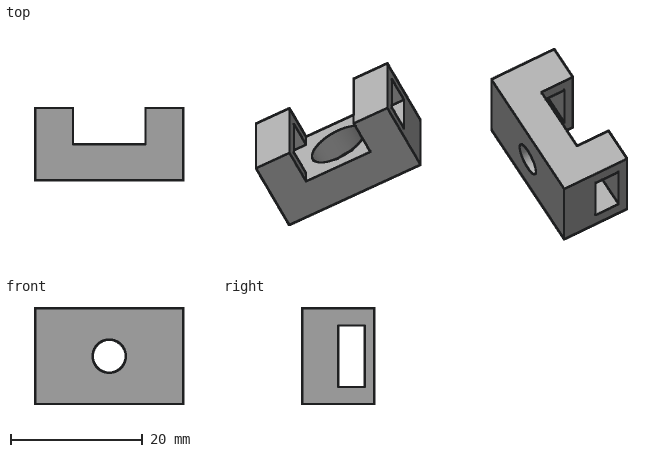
import cadquery as cq

length = 22.5
depth = 11.0
height = 14.6

gap_width = 11.0
web_thickness = 5.5

window_depth = 4.0
window_height = 9.3

hole_diameter = 5.0
counterbore_diameter = 9.0
hole_land = 1.5


def box_along_y(size_x, size_y, size_z, front_y):
    """Box centred on X and Z that starts at front_y and runs towards +Y."""
    box = cq.Workplane("XY").box(size_x, size_y, size_z, centered=(True, False, True))
    return box.translate((0, front_y, 0))


def cylinder_along_y(diameter, front_y, back_y):
    """Cylinder on the Y axis between two Y positions."""
    cylinder = cq.Workplane("XZ").circle(diameter / 2).extrude(front_y - back_y)
    return cylinder.translate((0, front_y, 0))


def make_body():
    """U-shaped body: a front web with an arm at each end."""
    block = box_along_y(length, depth, height, 0)
    gap = box_along_y(gap_width, depth - web_thickness, height, web_thickness)
    return block.cut(gap)


def cut_arm_windows(body):
    """Rectangular passage along X through both arms."""
    window = box_along_y(length, window_depth, window_height, web_thickness)
    return body.cut(window)


def cut_counterbored_hole(body):
    """Hole along Y through the centre of the web, widened on the gap side."""
    hole = cylinder_along_y(hole_diameter, 0, web_thickness)
    counterbore = cylinder_along_y(counterbore_diameter, hole_land, web_thickness)
    return body.cut(hole).cut(counterbore)


result = cut_counterbored_hole(cut_arm_windows(make_body()))